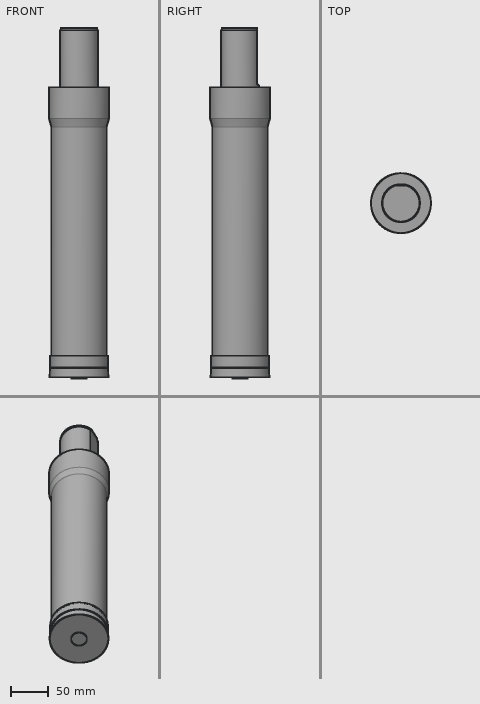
import cadquery as cq

total_length = 466.0

tube_diameter = 74.0
collar_diameter = 80.0
base_diameter = 77.5
boss_diameter = 21.0

boss_height = 1.5
base_top = 30.5
taper_bottom = 334.5
taper_top = 346.0
collar_top = 387.2

flare_top = 14.0
flare_bottom = 2.0
flare_bottom_diameter = 78.8
groove_height = 1.0
groove_diameter = 76.5
foot_diameter = 77.5

rod_diameter = 51.0
rod_tip_diameter = 49.0
rod_tip_height = 3.3
flat_offset = 23.0
flat_start = 389.0


def disc(diameter, bottom, top):
    """Solid round section on the Z axis between two heights."""
    return cq.Workplane("XY").workplane(offset=bottom).circle(diameter / 2).extrude(top - bottom)


def cone(bottom_diameter, top_diameter, bottom, top):
    """Solid truncated cone on the Z axis between two heights."""
    return (
        cq.Workplane("XY")
        .workplane(offset=bottom)
        .circle(bottom_diameter / 2)
        .workplane(offset=top - bottom)
        .circle(top_diameter / 2)
        .loft(ruled=True)
    )


def make_housing():
    """Tube with a tapered collar on top, and a ringed, flared base with a central boss."""
    collar = disc(collar_diameter, taper_top, collar_top)
    taper = cone(tube_diameter, collar_diameter, taper_bottom, taper_top)
    tube = disc(tube_diameter, base_top, taper_bottom)
    groove_top = flare_top + groove_height
    ring = disc(base_diameter, groove_top, base_top)
    groove_core = disc(groove_diameter, flare_top, groove_top)
    flare = cone(flare_bottom_diameter, base_diameter, flare_bottom, flare_top)
    bevel = cone(foot_diameter, flare_bottom_diameter, boss_height, flare_bottom)
    boss = disc(boss_diameter, 0, boss_height)

    upper = tube.union(taper).union(collar)
    foot = flare.union(bevel).union(boss)
    return upper.union(ring).union(groove_core).union(foot)


def make_rod():
    """Round rod standing on the collar, with a slightly smaller tip and a flat along its +Y side."""
    tip_bottom = total_length - rod_tip_height
    shank = disc(rod_diameter, collar_top, tip_bottom)
    tip = disc(rod_tip_diameter, tip_bottom, total_length)
    rod = shank.union(tip)
    rod_radius = rod_diameter / 2
    flat_depth = rod_radius - flat_offset
    flat_cut = (
        cq.Workplane("YZ")
        .polyline(
            [
                (rod_radius, flat_start),
                (flat_offset, flat_start + flat_depth),
                (flat_offset, total_length),
                (rod_radius, total_length),
            ]
        )
        .close()
        .extrude(rod_radius, both=True)
    )
    return rod.cut(flat_cut)


housing = make_housing()
rod = make_rod()

result = cq.Compound.makeCompound([housing.val(), rod.val()])